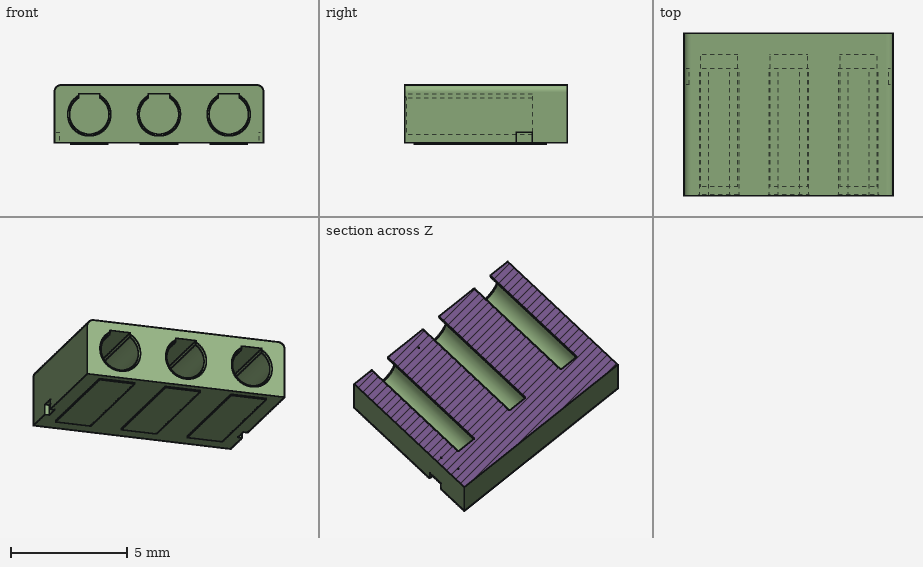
import cadquery as cq

LENGTH = 9.0
WIDTH = 7.0
HEIGHT = 2.49
TOP_EDGE_RADIUS = 0.3

ENTRY_COUNT = 3
ENTRY_PITCH = LENGTH / ENTRY_COUNT
ENTRY_X = [(i - (ENTRY_COUNT - 1) / 2) * ENTRY_PITCH for i in range(ENTRY_COUNT)]
ENTRY_Z = 1.22
MOUTH_DIAMETER = 1.85
BORE_DIAMETER = 1.7
LEAD_IN_DEPTH = (MOUTH_DIAMETER - BORE_DIAMETER) / 2
BORE_DEPTH = 5.5

KEYWAY_WIDTH = 0.92
KEYWAY_TOP = 0.88

PAD_WIDTH = 1.6
PAD_THICKNESS = 0.05
PAD_FRONT_INSET = 0.405
PAD_BACK_INSET = 0.9
PAD_LENGTH = WIDTH - PAD_FRONT_INSET - PAD_BACK_INSET

NOTCH_WIDTH = 0.7
NOTCH_HEIGHT = 0.45
NOTCH_DEPTH = 0.2
NOTCH_BACK_INSET = 1.5

FRONT_Y = -WIDTH / 2
BACK_Y = WIDTH / 2


def make_housing():
    block = cq.Workplane("XY").box(LENGTH, WIDTH, HEIGHT, centered=(True, True, False))
    return block.faces(">Z").edges("|Y").fillet(TOP_EDGE_RADIUS)


def make_entry_cutter(x):
    """Blind bore with a conical lead-in and a keyway whose flat top limits the lead-in."""
    profile = [
        (0, 0),
        (MOUTH_DIAMETER / 2, 0),
        (BORE_DIAMETER / 2, LEAD_IN_DEPTH),
        (BORE_DIAMETER / 2, BORE_DEPTH),
        (0, BORE_DEPTH),
    ]
    bore = cq.Workplane("XY").polyline(profile).close().revolve(360, (0, 0, 0), (0, 1, 0))
    keyway = cq.Workplane("XY").box(KEYWAY_WIDTH, BORE_DEPTH, KEYWAY_TOP, centered=(True, False, False))
    above_keyway = keyway.translate((0, 0, KEYWAY_TOP))
    return bore.cut(above_keyway).union(keyway).translate((x, FRONT_Y, ENTRY_Z))


def make_pad(x):
    pad = cq.Workplane("XY").box(PAD_WIDTH, PAD_LENGTH, PAD_THICKNESS, centered=(True, False, False))
    return pad.translate((x, FRONT_Y + PAD_FRONT_INSET, -PAD_THICKNESS))


def make_notch_cutter(side):
    notch = cq.Workplane("XY").box(2 * NOTCH_DEPTH, NOTCH_WIDTH, NOTCH_HEIGHT, centered=(True, True, False))
    return notch.translate((side * LENGTH / 2, BACK_Y - NOTCH_BACK_INSET - NOTCH_WIDTH / 2, 0))


result = make_housing()
for entry_x in ENTRY_X:
    result = result.cut(make_entry_cutter(entry_x))
    result = result.union(make_pad(entry_x))
for end_side in (-1, 1):
    result = result.cut(make_notch_cutter(end_side))